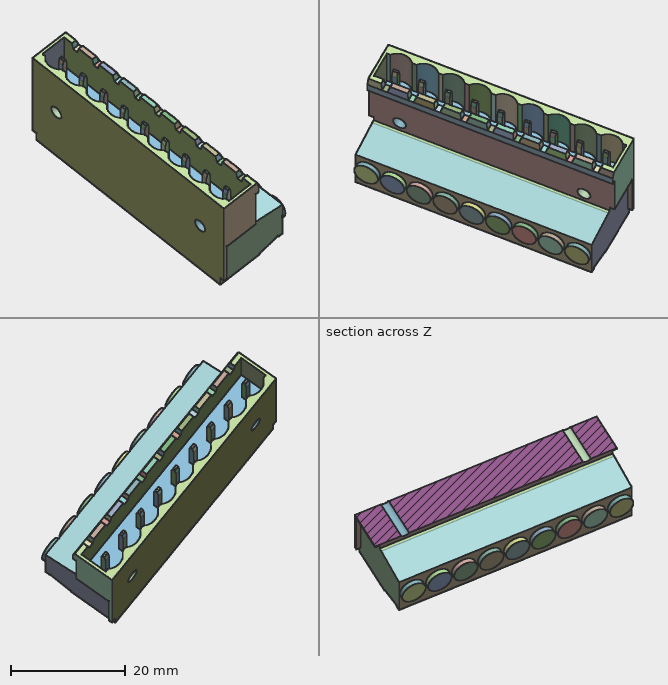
import cadquery as cq

LENGTH = 47.35
HEIGHT = 22.0
DEPTH = 16.15

POLES = 9
POLE_ROW_LENGTH = 40.6
PITCH = POLE_ROW_LENGTH / (POLES - 1)
POLE_X = [i * PITCH - POLE_ROW_LENGTH / 2 for i in range(POLES)]

SHROUD_BACK_Y = 7.85
SHROUD_BOTTOM_Z = 10.85
FACE_PLATE_DEPTH = 0.7
FACE_PLATE_BOTTOM_Z = 1.85
LIP_BACK_Y = 8.55
LIP_TOP_Y = 8.15
LIP_BOTTOM_Z = 19.1
LIP_CHAMFER_Z = 20.75

BLOCK_LENGTH = 45.55
BLOCK_BACK_Y = 15.25
BLOCK_TOP_Z = 10.0
BLOCK_SLOPE_Y = 8.42
BLOCK_BACK_TOP_Z = 8.95
BLOCK_FOOT_Y = 9.65
BLOCK_FOOT_STEP_Z = 0.25
BLOCK_HEEL_Y = 14.2
BLOCK_HEEL_Z = 0.9
BLOCK_HEEL_STEP_Z = 1.2

SCREW_DIAMETER = 4.6
SCREW_Z = 5.6

END_WALL = 0.6
CAVITY_FRONT_Y = 1.85
CAVITY_BACK_Y = 7.15
CAVITY_FLOOR_Z = 14.0
SCALLOP_FRONT_Y = 0.85
SCALLOP_WIDTH = 4.2

NOTCH_TOP_WIDTH = 1.7
NOTCH_BOTTOM_WIDTH = 1.0
NOTCH_BOTTOM_Z = LIP_CHAMFER_Z

PIN_SIZE = 1.0
PIN_Y = 4.05
PIN_TOP_Z = 21.15
PIN_TIP_THICKNESS = 0.43
PIN_TAPER_HEIGHT = 1.05

HOLE_DIAMETER = 2.5
HOLE_X = POLE_X[-1] - PITCH / 2
HOLE_Z = 12.0


def extrude_along_x(points, length):
    """Extrude a (Y, Z) outline symmetrically about X = 0."""
    return cq.Workplane("YZ").polyline(points).close().extrude(length / 2, both=True)


def make_shroud():
    """Upper housing with a latching lip behind and a face plate reaching down in front."""
    return extrude_along_x(
        [
            (0, FACE_PLATE_BOTTOM_Z),
            (0, HEIGHT),
            (LIP_TOP_Y, HEIGHT),
            (LIP_BACK_Y, LIP_CHAMFER_Z),
            (LIP_BACK_Y, LIP_BOTTOM_Z),
            (SHROUD_BACK_Y, LIP_BOTTOM_Z),
            (SHROUD_BACK_Y, SHROUD_BOTTOM_Z),
            (FACE_PLATE_DEPTH, SHROUD_BOTTOM_Z),
            (FACE_PLATE_DEPTH, FACE_PLATE_BOTTOM_Z),
        ],
        LENGTH,
    )


def make_block():
    """Terminal block, reaching up under the shroud."""
    return extrude_along_x(
        [
            (0, 0),
            (0, SHROUD_BOTTOM_Z),
            (SHROUD_BACK_Y, SHROUD_BOTTOM_Z),
            (SHROUD_BACK_Y, BLOCK_TOP_Z),
            (BLOCK_SLOPE_Y, BLOCK_TOP_Z),
            (BLOCK_BACK_Y, BLOCK_BACK_TOP_Z),
            (BLOCK_BACK_Y, BLOCK_HEEL_Z),
            (BLOCK_HEEL_Y, BLOCK_HEEL_Z),
            (BLOCK_HEEL_Y, BLOCK_HEEL_STEP_Z),
            (BLOCK_FOOT_Y, BLOCK_FOOT_STEP_Z),
            (BLOCK_FOOT_Y, 0),
        ],
        BLOCK_LENGTH,
    )


def make_screw_heads():
    """Round screw heads standing proud of the block's back face."""
    return (
        cq.Workplane("XZ", origin=(0, DEPTH, 0))
        .pushPoints([(x, SCREW_Z) for x in POLE_X])
        .circle(SCREW_DIAMETER / 2)
        .extrude(DEPTH - BLOCK_BACK_Y)
    )


def make_cavity():
    """Plug cavity with one arc scallop per pole along its front wall."""
    half_length = LENGTH / 2 - END_WALL
    outline = cq.Workplane("XY", origin=(0, 0, CAVITY_FLOOR_Z)).moveTo(-half_length, CAVITY_FRONT_Y)
    for x in POLE_X:
        outline = outline.lineTo(x - SCALLOP_WIDTH / 2, CAVITY_FRONT_Y).threePointArc(
            (x, SCALLOP_FRONT_Y), (x + SCALLOP_WIDTH / 2, CAVITY_FRONT_Y)
        )
    return (
        outline.lineTo(half_length, CAVITY_FRONT_Y)
        .lineTo(half_length, CAVITY_BACK_Y)
        .lineTo(-half_length, CAVITY_BACK_Y)
        .close()
        .extrude(HEIGHT - CAVITY_FLOOR_Z)
    )


def make_notch(x):
    """V-sided notch through the back wall and its lip."""
    return (
        cq.Workplane("XZ", origin=(x, LIP_BACK_Y, 0))
        .moveTo(-NOTCH_TOP_WIDTH / 2, HEIGHT)
        .lineTo(NOTCH_TOP_WIDTH / 2, HEIGHT)
        .lineTo(NOTCH_BOTTOM_WIDTH / 2, NOTCH_BOTTOM_Z)
        .lineTo(-NOTCH_BOTTOM_WIDTH / 2, NOTCH_BOTTOM_Z)
        .close()
        .extrude(LIP_BACK_Y - CAVITY_BACK_Y)
    )


def make_pin(x):
    """Square pin rising from the cavity floor, tapered front and back at its tip."""
    half_size = PIN_SIZE / 2
    half_tip = PIN_TIP_THICKNESS / 2
    taper_z = PIN_TOP_Z - PIN_TAPER_HEIGHT
    return extrude_along_x(
        [
            (PIN_Y - half_size, CAVITY_FLOOR_Z),
            (PIN_Y - half_size, taper_z),
            (PIN_Y - half_tip, PIN_TOP_Z),
            (PIN_Y + half_tip, PIN_TOP_Z),
            (PIN_Y + half_size, taper_z),
            (PIN_Y + half_size, CAVITY_FLOOR_Z),
        ],
        PIN_SIZE,
    ).translate((x, 0, 0))


def make_mounting_holes():
    """Two holes running right through the part along Y."""
    return (
        cq.Workplane("XZ", origin=(0, DEPTH, 0))
        .pushPoints([(-HOLE_X, HOLE_Z), (HOLE_X, HOLE_Z)])
        .circle(HOLE_DIAMETER / 2)
        .extrude(DEPTH)
    )


housing = make_shroud().union(make_block()).union(make_screw_heads())
housing = housing.cut(make_cavity()).cut(make_mounting_holes())
for pole_x in POLE_X:
    housing = housing.cut(make_notch(pole_x)).union(make_pin(pole_x))

result = housing